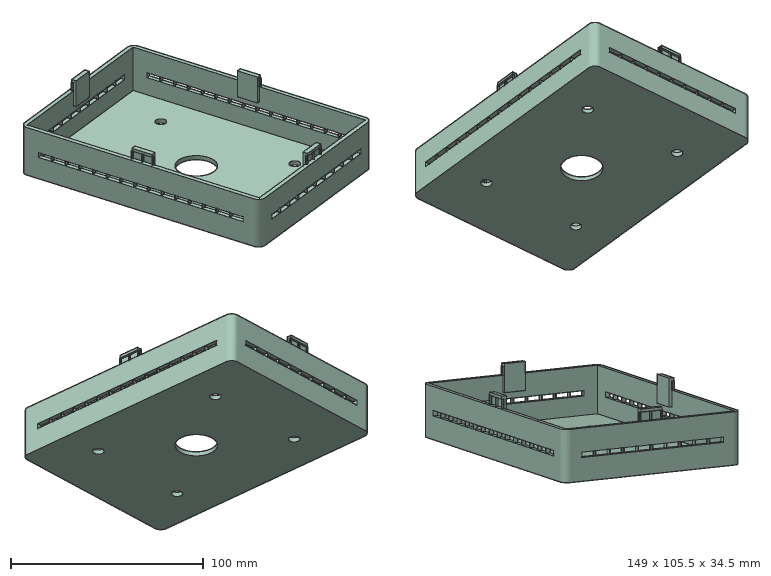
import cadquery as cq

length = 149.0
width = 105.5
rim_height = 28.2
wall = 2.5
floor_thickness = 2.5
corner_radius = 4.2

cable_hole_diameter = 22.0
screw_hole_diameter = 6.0
screw_spacing_x = 83.0
screw_spacing_y = 59.9

slot_height = 2.8
slot_pitch = 8.5
slot_bar = 0.5
slot_length = slot_pitch - slot_bar
long_wall_slots = 15
short_wall_slots = 10

tab_top = 34.5
tab_depth_below_rim = 9.0
tab_width = 12.5
tab_inner_offset = 4.2
tab_outer_offset = 1.3
lip_height = 1.6
rib_thickness = 0.6
rib_span = 13.4


def box_between(start, end):
    """Box with opposite corners at start and end."""
    size = [b - a for a, b in zip(start, end)]
    return cq.Workplane("XY").box(*size, centered=False).translate(start)


def make_tray():
    outside = cq.Workplane("XY").rect(length, width).extrude(rim_height)
    outside = outside.edges("|Z").fillet(corner_radius)
    cavity = (
        cq.Workplane("XY")
        .workplane(offset=floor_thickness)
        .rect(length - 2 * wall, width - 2 * wall)
        .extrude(rim_height)
    )
    return outside.cut(cavity)


def make_floor_holes():
    cable_hole = cq.Workplane("XY").circle(cable_hole_diameter / 2).extrude(floor_thickness)
    screw_holes = (
        cq.Workplane("XY")
        .rect(screw_spacing_x, screw_spacing_y, forConstruction=True)
        .vertices()
        .circle(screw_hole_diameter / 2)
        .extrude(floor_thickness)
    )
    return cable_hole.union(screw_holes)


def make_slot_row(plane, count, through):
    """Slots at half the rim height that pass through both opposite walls."""
    return (
        cq.Workplane(plane)
        .center(0, rim_height / 2)
        .rarray(slot_pitch, 1.5, count, 1)
        .rect(slot_length, slot_height)
        .extrude(through / 2, both=True)
    )


def make_tab():
    """Tab for a wall whose outer face is the plane y = 0, with the tray on the +Y side."""
    half_width = tab_width / 2
    plate = box_between(
        (-half_width, wall, rim_height - tab_depth_below_rim),
        (half_width, tab_inner_offset, tab_top),
    )
    lip_bottom = tab_top - lip_height
    lip = box_between((-half_width, tab_outer_offset, lip_bottom), (half_width, wall, tab_top))
    tab = plate.union(lip)
    end_rib = (rib_span - rib_thickness) / 2
    for rib_center in (-end_rib, 0, end_rib):
        rib = box_between(
            (rib_center - rib_thickness / 2, tab_outer_offset, rim_height),
            (rib_center + rib_thickness / 2, wall, lip_bottom),
        )
        tab = tab.union(rib)
    return tab


result = make_tray().cut(make_floor_holes())
result = result.cut(make_slot_row("XZ", long_wall_slots, width))
result = result.cut(make_slot_row("YZ", short_wall_slots, length))

snap_tab = make_tab()
wall_distances = (width / 2, length / 2, width / 2, length / 2)
for quarter_turns, wall_distance in enumerate(wall_distances):
    placed_tab = snap_tab.translate((0, -wall_distance, 0))
    placed_tab = placed_tab.rotate((0, 0, 0), (0, 0, 1), 90 * quarter_turns)
    result = result.union(placed_tab)